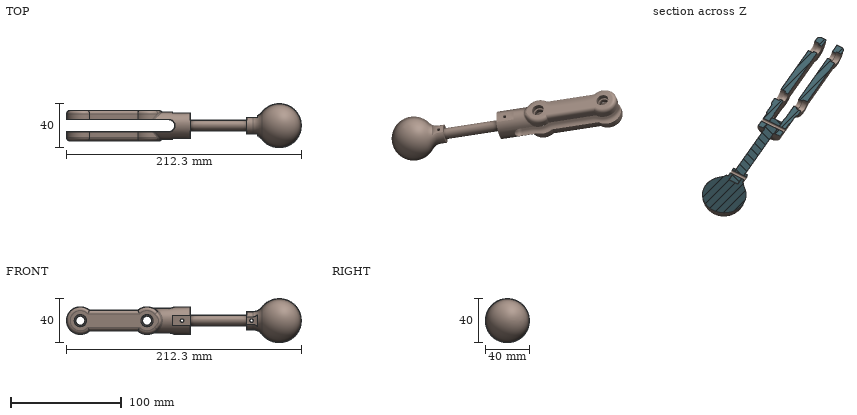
import cadquery as cq
import math

total_length = 212.3
ball_diameter = 40.0

boss_radius = 12.5
boss_pitch = 60.3
fork_length = 112.1
fork_width = 27.8
slot_width = 10.8
slot_end = 97.9
arm_height = 19.0
edge_radius = 3.5
blend_radius = 1.3
pivot_hole_diameter = 8.0
counterbore_diameter = 11.0
counterbore_depth = 4.7
socket_flat_width = 23.4
socket_flat_length = 16.1

rod_diameter = 10.0

knob_start = 162.9
collar_diameter = 16.5
collar_flat_width = 15.0
collar_flat_length = 9.8
neck_radius = 10.0

pin_hole_diameter = 3.0
fork_pin_inset = 7.6
knob_pin_inset = 4.5

clearance = 0.2

tip_x = -total_length / 2
boss_centers = [tip_x + boss_radius, tip_x + boss_radius + boss_pitch]
slot_bottom_x = tip_x + slot_end
slot_end_center_x = slot_bottom_x - slot_width / 2
fork_mouth_x = tip_x + fork_length
collar_x = tip_x + knob_start
ball_radius = ball_diameter / 2
collar_radius = collar_diameter / 2
ball_x = total_length / 2 - ball_radius
fork_pin_x = fork_mouth_x - fork_pin_inset
knob_pin_x = collar_x + knob_pin_inset

neck_center_radius = collar_radius + neck_radius
neck_start_x = ball_x - math.sqrt((ball_radius + neck_radius) ** 2 - neck_center_radius ** 2)
ball_share = ball_radius / (ball_radius + neck_radius)
neck_end_x = ball_x - (ball_x - neck_start_x) * ball_share
neck_end_radius = neck_center_radius * ball_share
neck_sweep = math.atan2(ball_x - neck_start_x, neck_center_radius)


def x_cylinder(start_x, end_x, diameter):
    """Cylinder on the lever axis."""
    return cq.Workplane("YZ", origin=(start_x, 0, 0)).circle(diameter / 2).extrude(end_x - start_x)


def y_cylinder(x, start_y, end_y, diameter):
    """Cylinder across the lever at height zero."""
    plane = cq.Plane(origin=(x, start_y, 0), xDir=(1, 0, 0), normal=(0, 1, 0))
    return cq.Workplane(plane).circle(diameter / 2).extrude(end_y - start_y)


def cross_pin_hole(x):
    return y_cylinder(x, -fork_width / 2, fork_width / 2, pin_hole_diameter)


def outside_flats(start_x, length, width_over_flats):
    """Two blocks that cut parallel flats facing +Y and -Y."""
    depth = ball_diameter / 2
    center_y = (width_over_flats + depth) / 2
    blocks = cq.Workplane("XY", origin=(start_x + length / 2, 0, 0))
    return blocks.pushPoints([(0, center_y), (0, -center_y)]).box(length, depth, ball_diameter)


def make_arm_pair():
    """Both arms as one block with square edges: a bar with a round boss at each pivot."""
    half_width = fork_width / 2
    body = cq.Workplane("XY").box(boss_pitch, fork_width, arm_height)
    body = body.translate((sum(boss_centers) / 2, 0, 0))
    for x in boss_centers:
        body = body.union(y_cylinder(x, -half_width, half_width, 2 * boss_radius))
    return body


def make_slot():
    """Gap between the arms with a half-round bottom."""
    length = slot_end_center_x - tip_x
    gap = cq.Workplane("XY").box(length, slot_width, ball_diameter)
    gap = gap.translate((tip_x + length / 2, 0, 0))
    round_end = cq.Workplane("XY", origin=(slot_end_center_x, 0, 0)).circle(slot_width / 2)
    return gap.union(round_end.extrude(ball_diameter / 2, both=True))


def blend_arms_to_barrel(body):
    """Round the inside corners where the rear bosses meet the barrel, outside the slot."""
    boss_x = boss_centers[1]
    front_x = boss_x + boss_radius / 2
    back_x = boss_x + boss_radius
    corners = cq.selectors.BoxSelector(
        (front_x, slot_width / 2 + clearance, -boss_radius), (back_x, boss_radius, boss_radius)
    ) + cq.selectors.BoxSelector(
        (front_x, -boss_radius, -boss_radius), (back_x, -slot_width / 2 - clearance, boss_radius)
    )
    return body.edges(corners).fillet(blend_radius)


def make_counterbored_hole(x):
    """Pivot hole through both arms, counterbored from the two outer faces."""
    half_width = fork_width / 2
    floor_y = half_width - counterbore_depth
    hole = y_cylinder(x, -half_width, half_width, pivot_hole_diameter)
    hole = hole.union(y_cylinder(x, floor_y, half_width, counterbore_diameter))
    return hole.union(y_cylinder(x, -half_width, -floor_y, counterbore_diameter))


def make_fork():
    barrel = x_cylinder(boss_centers[1], fork_mouth_x, 2 * boss_radius)
    body = make_arm_pair().union(barrel).cut(make_slot())
    body = blend_arms_to_barrel(body)
    body = body.faces("<Y or >Y").edges().fillet(edge_radius)
    for x in boss_centers:
        body = body.cut(make_counterbored_hole(x))
    body = body.cut(outside_flats(fork_mouth_x - socket_flat_length, socket_flat_length, socket_flat_width))
    body = body.cut(x_cylinder(slot_end_center_x, fork_mouth_x, rod_diameter))
    return body.cut(cross_pin_hole(fork_pin_x))


def make_rod():
    """Plain rod from the slot bottom to the far end of the knob neck, drilled for both cross pins."""
    body = x_cylinder(slot_bottom_x, neck_end_x, rod_diameter)
    for pin_x in (fork_pin_x, knob_pin_x):
        body = body.cut(cross_pin_hole(pin_x))
    return body


def make_knob():
    """Collar, hollow neck and ball turned as one piece, with a blind socket for the rod."""
    neck_mid_x = neck_start_x + neck_radius * math.sin(neck_sweep / 2)
    neck_mid_radius = neck_center_radius - neck_radius * math.cos(neck_sweep / 2)
    body = (
        cq.Workplane("XY")
        .moveTo(collar_x, 0)
        .lineTo(collar_x, collar_radius)
        .lineTo(neck_start_x, collar_radius)
        .threePointArc((neck_mid_x, neck_mid_radius), (neck_end_x, neck_end_radius))
        .threePointArc((ball_x, ball_radius), (ball_x + ball_radius, 0))
        .close()
        .revolve(360, (0, 0, 0), (1, 0, 0))
    )
    body = body.cut(outside_flats(collar_x, collar_flat_length, collar_flat_width))
    body = body.cut(x_cylinder(collar_x, neck_end_x, rod_diameter))
    return body.cut(cross_pin_hole(knob_pin_x))


fork = make_fork()
rod = make_rod()
knob = make_knob()

result = cq.Compound.makeCompound([fork.val(), rod.val(), knob.val()])